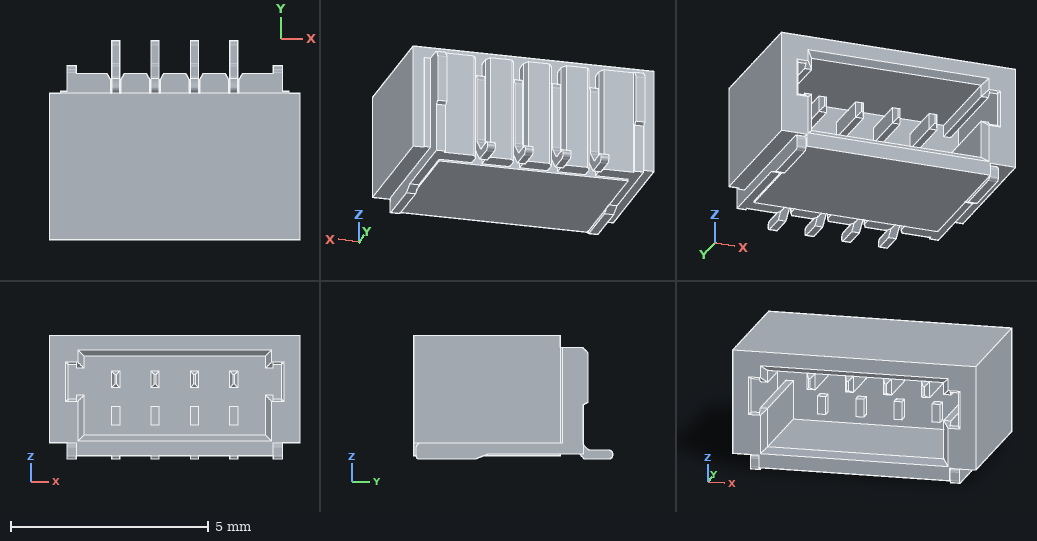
import cadquery as cq


width = 6.36
depth = 3.72
top_z = 3.14
side_bottom_z = 0.415
center_bottom_z = 0.08

mouth_half_width = 2.455
mouth_bottom_z = 0.46
mouth_top_z = 2.77
mouth_chamfer = 0.15
cavity_depth = 2.8

key_half_width = 2.765
key_bottom_z = 1.47
key_top_z = 2.46
key_chamfer = 0.06
key_undercut = 0.275

plate_inner_x = 2.49
plate_thickness = 0.24
plate_outer_x = plate_inner_x + plate_thickness
plate_front_y = 0.065
plate_back_y = 4.425
plate_neck_y = 4.305
plate_top_z = 2.835
plate_bottom_z = 0.13
foot_back_y = 1.565
foot_slope_length = 0.31
tab_bottom_z = 1.445
tab_corner_chamfer = 0.14
tab_corner_blend = 0.095
tab_chamfer_height = 0.065
foot_top_chamfer = 0.075
foot_corner_radius = 0.075

ledge_half_width = 2.9
ledge_back_y = 3.77
block_back_y = 4.22
gap_width = 0.26
gap_flare = 0.09
gap_flare_depth = 0.16

contact_count = 4
pitch = 1.0
contact_width = 0.21
contact_thickness = 0.235
tail_end_y = 5.05
tail_round = 0.11
tail_bend_y = 4.43
tail_heel_y = 4.33
tail_bend_radius = 0.09
post_front_y = 3.715
post_back_y = 4.09
post_top_z = 2.415
post_round = 0.16
post_foot_radius = 0.13
pin_bottom_z = 1.81
pin_height = 0.425
pin_front_y = 1.27
pin_taper_length = 0.19
pin_tip_width = 0.045
pin_tip_height = 0.25
prong_bottom_z = 0.865
prong_height = 0.47
prong_front_y = 2.545

contact_centers = [(i - (contact_count - 1) / 2) * pitch for i in range(contact_count)]


def box(x_range, y_range, z_range):
    """Box spanning the given X, Y and Z ranges."""
    (x0, x1), (y0, y1), (z0, z1) = x_range, y_range, z_range
    return cq.Workplane("XY").box(x1 - x0, y1 - y0, z1 - z0, centered=False).translate((x0, y0, z0))


def centered_box(half_width, y_range, z_range):
    """Box symmetric about X = 0."""
    return box((-half_width, half_width), y_range, z_range)


def tapered_block(front_size, back_size, center_z, front_y, length):
    """Block about X = 0 whose (width, height) changes from front to back."""
    front = cq.Workplane("XZ", origin=(0, front_y, center_z)).rect(*front_size)
    return front.workplane(offset=-length).rect(*back_size).loft(combine=True)


def chamfered_pocket(half_width, z_range, side_inset, z_inset, chamfer_depth):
    """Pocket from the mating face with a bevelled mouth."""
    z0, z1 = z_range
    mouth_size = (2 * half_width, z1 - z0)
    throat_size = (2 * (half_width - side_inset), z1 - z0 - 2 * z_inset)
    bevel = tapered_block(mouth_size, throat_size, (z0 + z1) / 2, 0, chamfer_depth)
    bore = centered_box(half_width - side_inset, (0, cavity_depth), (z0 + z_inset, z1 - z_inset))
    return bore.union(bevel)


def round_corners(solid, corners):
    """Fillet the edges along X nearest to each (y, z, radius) corner of a flat profile."""
    center_x = solid.val().Center().x
    for y, z, radius in corners:
        nearest = cq.selectors.NearestToPointSelector((center_x, y, z))
        solid = solid.edges("|X").edges(nearest).fillet(radius)
    return solid


def make_housing():
    housing = centered_box(width / 2, (0, depth), (side_bottom_z, top_z))
    base = centered_box(plate_inner_x, (0, depth), (center_bottom_z, side_bottom_z))
    return housing.union(base)


def make_cavity():
    main = chamfered_pocket(
        mouth_half_width, (mouth_bottom_z, mouth_top_z), mouth_chamfer, mouth_chamfer, mouth_chamfer
    )
    key_range = (key_bottom_z, key_top_z)
    lips = chamfered_pocket(plate_inner_x, key_range, 0, mouth_chamfer, mouth_chamfer)
    slots = chamfered_pocket(key_half_width, key_range, key_chamfer, key_chamfer, key_chamfer)
    undercut = centered_box(
        key_half_width - key_chamfer,
        (key_chamfer, cavity_depth),
        (key_bottom_z - key_undercut, key_top_z + key_undercut),
    )
    slots = slots.union(undercut).cut(centered_box(plate_inner_x, (0, cavity_depth), (0, top_z)))
    return main.union(lips).union(slots)


def make_rear_blocks():
    """Back step and side ledges, divided by flared gaps around the contacts."""
    blocks = centered_box(plate_outer_x, (depth, block_back_y), (plate_bottom_z, plate_top_z))
    ledge = centered_box(ledge_half_width, (depth, ledge_back_y), (side_bottom_z, plate_top_z))
    blocks = blocks.union(ledge)
    half_gap = gap_width / 2
    flare_y = block_back_y - gap_flare_depth
    for x in contact_centers:
        gap = (
            cq.Workplane("XY")
            .polyline([
                (x - half_gap, depth),
                (x - half_gap, flare_y),
                (x - half_gap - gap_flare, block_back_y),
                (x + half_gap + gap_flare, block_back_y),
                (x + half_gap, flare_y),
                (x + half_gap, depth),
            ])
            .close()
            .extrude(top_z)
        )
        blocks = blocks.cut(gap)
    return blocks


def make_hold_down():
    """Hold-down plate on the +X side: a foot along the base and a tab at the back."""
    plate = (
        cq.Workplane("YZ", origin=(plate_inner_x, 0, 0))
        .polyline([
            (plate_front_y, 0),
            (foot_back_y, 0),
            (foot_back_y + foot_slope_length, plate_bottom_z),
            (plate_neck_y, plate_bottom_z),
            (plate_neck_y, tab_bottom_z - tab_chamfer_height),
            (plate_back_y, tab_bottom_z),
            (plate_back_y, plate_top_z - tab_corner_chamfer),
            (plate_back_y - tab_corner_chamfer, plate_top_z),
            (depth, plate_top_z),
            (depth, side_bottom_z),
            (plate_front_y + foot_top_chamfer, side_bottom_z),
            (plate_front_y, side_bottom_z - foot_top_chamfer),
        ])
        .close()
        .extrude(plate_thickness)
    )
    return round_corners(plate, [
        (plate_front_y, 0, foot_corner_radius),
        (plate_front_y, side_bottom_z - foot_top_chamfer, foot_corner_radius),
        (plate_back_y, plate_top_z - tab_corner_chamfer, tab_corner_blend),
        (plate_back_y - tab_corner_chamfer, plate_top_z, tab_corner_blend),
    ])


def make_contact():
    """Contact at X = 0: solder tail, post behind the back wall, pin and lower prong."""
    slope_end_z = contact_thickness + tail_bend_y - post_back_y
    tail = (
        cq.Workplane("YZ", origin=(-contact_width / 2, 0, 0))
        .polyline([
            (tail_heel_y, 0),
            (tail_end_y, 0),
            (tail_end_y, contact_thickness),
            (tail_bend_y, contact_thickness),
            (post_back_y, slope_end_z),
            (post_back_y, post_top_z),
            (post_front_y, post_top_z),
            (post_front_y, tail_heel_y - post_front_y),
        ])
        .close()
        .extrude(contact_width)
    )
    tail = round_corners(tail, [
        (tail_end_y, 0, tail_round),
        (tail_end_y, contact_thickness, tail_round),
        (tail_bend_y, contact_thickness, tail_bend_radius),
        (post_back_y, slope_end_z, post_foot_radius),
        (post_back_y, post_top_z, post_round),
        (post_front_y, post_top_z, post_round),
    ])
    half_width = contact_width / 2
    pin_top_z = pin_bottom_z + pin_height
    pin_shoulder_y = pin_front_y + pin_taper_length
    pin = centered_box(half_width, (pin_shoulder_y, post_back_y), (pin_bottom_z, pin_top_z))
    tip = tapered_block(
        (pin_tip_width, pin_tip_height),
        (contact_width, pin_height),
        pin_bottom_z + pin_height / 2,
        pin_front_y,
        pin_taper_length,
    )
    prong = centered_box(
        half_width, (prong_front_y, post_back_y), (prong_bottom_z, prong_bottom_z + prong_height)
    )
    return tail.union(pin).union(tip).union(prong)


result = make_housing().union(make_rear_blocks()).cut(make_cavity())

hold_down = make_hold_down()
result = result.union(hold_down).union(hold_down.mirror("YZ"))

contact = make_contact()
for center_x in contact_centers:
    result = result.union(contact.translate((center_x, 0, 0)))